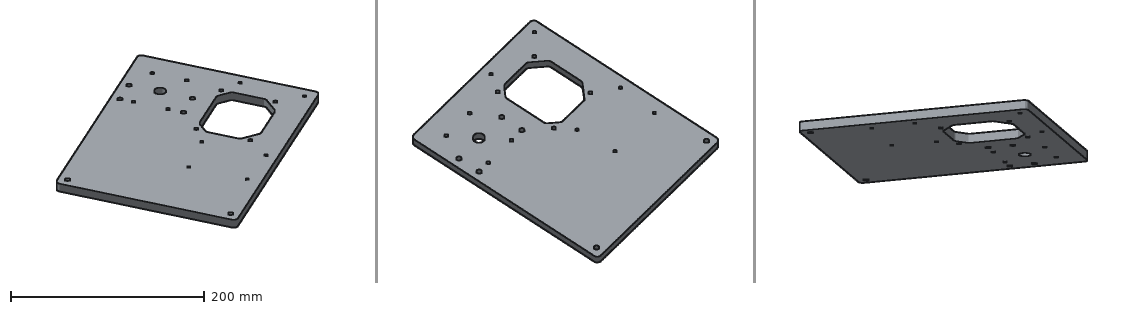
import cadquery as cq

width = 200.0
length = 250.0
thickness = 10.0
corner_radius = 5.0

mount_diameter = 5.5
edge_inset = 10.0
mount_pair_x = 80.0
mount_pair_y = (167.0, 194.0)

shaft_diameter = 12.5
shaft_x = 44.0
shaft_y = 195.0
shaft_screw_diameter = 4.0
shaft_screw_spacing_x = 38.0
shaft_screw_spacing_y = 56.0

window_left = 102.2
window_right = 168.5
window_bottom = 141.8
window_top = 218.8
left_bevel = 12.0
right_bevel = 16.5
window_corner_radius = 5.0
window_screw_diameter = 4.2
window_screw_x = (103.0, 162.8)
window_screw_y = (143.0, 218.0)

upper_board_diameter = 3.5
upper_board_x = (116.5, 187.5)
upper_board_y = (123.0, 238.0)
lower_board_diameter = 3.2
lower_board_x = (119.8, 184.2)
lower_board_y = 75.0


def grid(x_places, y_places):
    """Every combination of the given X and Y places."""
    return [(x, y) for x in x_places for y in y_places]


def centred_pair(centre, spacing):
    """Two places spaced evenly about a centre."""
    return (centre - spacing / 2, centre + spacing / 2)


def make_window():
    """Solid that fills the bevelled window opening."""
    outline = [
        (window_left, window_bottom + left_bevel),
        (window_left + left_bevel, window_bottom),
        (window_right - right_bevel, window_bottom),
        (window_right, window_bottom + right_bevel),
        (window_right, window_top - right_bevel),
        (window_right - right_bevel, window_top),
        (window_left + left_bevel, window_top),
        (window_left, window_top - left_bevel),
    ]
    window = cq.Workplane("XY").polyline(outline).close().extrude(thickness)
    return window.edges("|Z").fillet(window_corner_radius)


plate = cq.Workplane("XY").box(width, length, thickness, centered=False)
plate = plate.edges("|Z").fillet(corner_radius)
plate = plate.cut(make_window())

edge_mounts = [(edge_inset, edge_inset), (width - edge_inset, edge_inset)]
shaft_mounts = grid((edge_inset, mount_pair_x), mount_pair_y)
shaft_screws = grid(
    centred_pair(shaft_x, shaft_screw_spacing_x),
    centred_pair(shaft_y, shaft_screw_spacing_y),
)

hole_groups = [
    (mount_diameter, edge_mounts + shaft_mounts),
    (shaft_diameter, [(shaft_x, shaft_y)]),
    (shaft_screw_diameter, shaft_screws),
    (window_screw_diameter, grid(window_screw_x, window_screw_y)),
    (upper_board_diameter, grid(upper_board_x, upper_board_y)),
    (lower_board_diameter, grid(lower_board_x, (lower_board_y,))),
]
for diameter, centres in hole_groups:
    holes = cq.Workplane("XY").pushPoints(centres).circle(diameter / 2).extrude(thickness)
    plate = plate.cut(holes)

result = plate